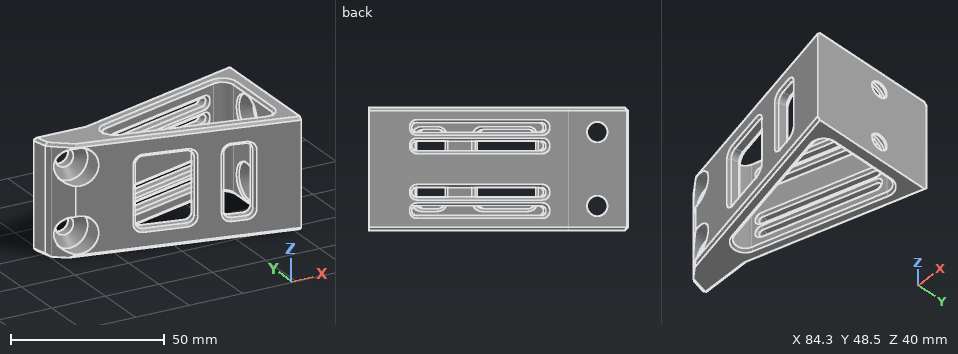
import cadquery as cq
import math

length = 84.3
depth = 48.5
height = 40.0

front_angle = math.radians(12)
back_angle = math.radians(17)
nose_back_y = 28.65
nose_front_x = 9.0
nose_back = (0.5, nose_back_y)
nose_face = [(0.0, 27.7), (1.35, 22.3)]
facet_corner = (2.7, 20.8)

wall = 5.0
opening_radius = 4.05
chamfer = 1.0
chamfer_angle = 45

bore_diameter = 6.6
head_diameter = 13.4
hole_spacing = 24.0
nose_hole_x = 10.0
nose_seat = 7.0
mount_hole_y = 27.5
mount_lip = 1.0

window_height = 25.6
window_radius = 2.5
wide_window = 20.1
narrow_window = 10.0
window_gap = 10.0
window_end_margin = 16.2

slot_length = 45.7
slot_height = 3.0
slot_end_margin = 14.8
slot_pitch = 6.0
slot_pair_offset = 10.5

overcut = 0.85
mid_z = height / 2


def triangle_opening():
    """Prism parallel to the three outer faces, one wall thickness inside them."""
    inner_x = length - wall
    front_offset = wall / math.cos(front_angle)
    back_offset = wall / math.cos(back_angle)
    front_slope = math.tan(front_angle)
    back_slope = math.tan(back_angle)
    apex_run = (depth - front_offset - back_offset) / (front_slope + back_slope)
    corners = [
        (inner_x, front_offset + wall * front_slope),
        (inner_x, depth - back_offset - wall * back_slope),
        (length - apex_run, front_offset + apex_run * front_slope),
    ]
    prism = cq.Workplane("XY").polyline(corners).close().extrude(height)
    return prism.edges("|Z").fillet(opening_radius)


def wedge_body():
    """Wedge with its opening, chamfered above and below except along the +X face.

    The lower chamfers belong to the sharp nose, so the facets cut on it run down to the base.
    """
    front_slope = math.tan(front_angle)
    nose_back_x = length - (depth - nose_back_y) / math.tan(back_angle)
    nose_front = (nose_front_x, (length - nose_front_x) * front_slope)
    (face_start_x, face_start_y), (face_end_x, face_end_y) = nose_face
    nose_slope = (face_end_y - face_start_y) / (face_end_x - face_start_x)
    sharp_x = (length * front_slope - face_start_y + nose_slope * face_start_x) / (nose_slope + front_slope)
    sharp_nose = (sharp_x, (length - sharp_x) * front_slope)
    outline = [
        (length, 0),
        (length, depth),
        (nose_back_x, nose_back_y),
        nose_back,
        nose_face[0],
        sharp_nose,
    ]
    body = cq.Workplane("XY").polyline(outline).close().extrude(height)
    body = body.cut(triangle_opening())
    body = body.faces("<Z").edges("not >X").chamfer(chamfer)

    facet_waste = [nose_front, facet_corner, nose_face[1], sharp_nose]
    body = body.cut(cq.Workplane("XY").polyline(facet_waste).close().extrude(height))
    return body.faces(">Z").edges("not >X").chamfer(chamfer)


def window_outline(width, margin):
    """Rounded rectangle of a window, grown by a margin."""
    rectangle = cq.Sketch().rect(width + 2 * margin, window_height + 2 * margin)
    return rectangle.vertices().fillet(window_radius + margin)


def slot_outline(width, margin):
    """Round-ended slot, grown by a margin."""
    return cq.Sketch().slot(width - slot_height, slot_height + 2 * margin)


def wall_opening(plane, outline, width, center):
    """Opening through a wall, flared by a chamfer on both of its faces."""
    def profile(offset, margin):
        base = cq.Workplane(plane).workplane(offset=offset).center(*center)
        return base.placeSketch(outline(width, margin))

    through = profile(overcut, 0).extrude(-(wall + 2 * overcut))
    outer_flare = profile(0, chamfer).extrude(-chamfer, taper=chamfer_angle)
    inner_flare = profile(-wall, chamfer).extrude(chamfer, taper=chamfer_angle)
    return through.union(outer_flare).union(inner_flare)


def countersunk_hole(head_length, bore_length):
    """Screw hole along +Y, with the wide end of its cone at the origin."""
    head_radius = head_diameter / 2
    bore_radius = bore_diameter / 2
    cone_depth = head_radius - bore_radius
    half_section = [
        (0, -head_length),
        (head_radius, -head_length),
        (head_radius, 0),
        (bore_radius, cone_depth),
        (bore_radius, bore_length),
        (0, bore_length),
    ]
    return cq.Workplane("XY").polyline(half_section).close().revolve(360, (0, 0, 0), (0, 1, 0))


result = wedge_body()

front_direction = (math.cos(front_angle), -math.sin(front_angle), 0)
front_normal = (-math.sin(front_angle), -math.cos(front_angle), 0)
front_plane = cq.Plane((length, 0, mid_z), front_direction, front_normal)
wide_window_margin = window_end_margin + narrow_window + window_gap
for width, margin in [(narrow_window, window_end_margin), (wide_window, wide_window_margin)]:
    center = (-margin - width / 2, 0)
    result = result.cut(wall_opening(front_plane, window_outline, width, center))

back_direction = (-math.cos(back_angle), -math.sin(back_angle), 0)
back_normal = (-math.sin(back_angle), math.cos(back_angle), 0)
back_plane = cq.Plane((length, depth, mid_z), back_direction, back_normal)
slot_center = slot_end_margin + slot_length / 2
for pair_side in (-1, 1):
    for slot_side in (-1, 1):
        center = (slot_center, pair_side * slot_pair_offset + slot_side * slot_pitch / 2)
        result = result.cut(wall_opening(back_plane, slot_outline, slot_length, center))

nose_hole = countersunk_hole(nose_back_y, nose_back_y)
mount_hole = countersunk_hole(mount_lip, wall + overcut).rotate((0, 0, 0), (0, 0, 1), -90)
for side in (-1, 1):
    hole_z = mid_z + side * hole_spacing / 2
    result = result.cut(nose_hole.translate((nose_hole_x, nose_back_y - nose_seat, hole_z)))
    result = result.cut(mount_hole.translate((length - wall + mount_lip, mount_hole_y, hole_z)))